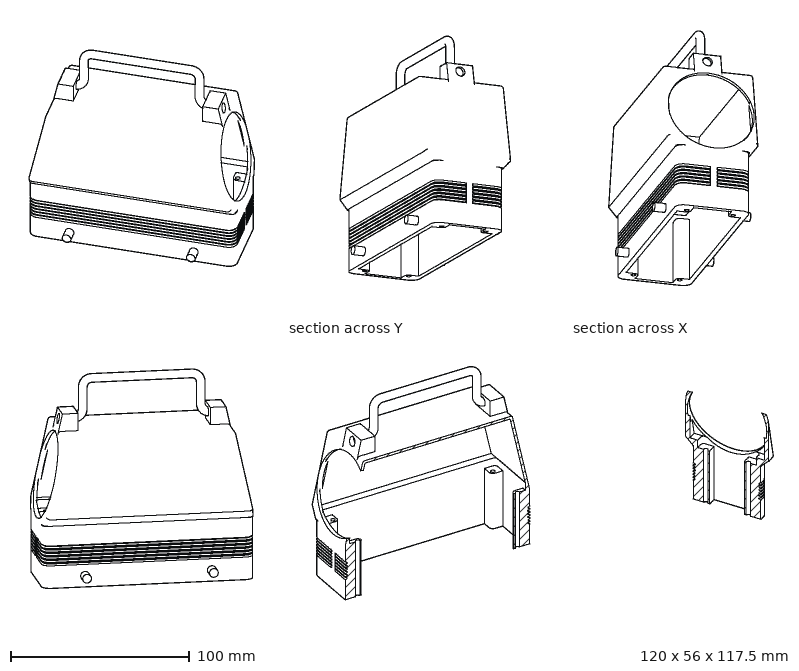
import cadquery as cq
import math

LENGTH = 120.0
HANDLE_TOP = 117.5

BASE_WIDTH = 43.0
BASE_HEIGHT = 36.0
BASE_CORNER_RADIUS = 5.0
BASE_WALL = 3.0

HOOD_WIDTH = 53.0
FLARE_TOP = BASE_HEIGHT + (HOOD_WIDTH - BASE_WIDTH) / 2
HOOD_TOP = 87.0
HOOD_SIDE_WALL = 3.0
HOOD_END_WALL = 2.0
END_LEAN = math.tan(math.radians(12.5))
HOOD_FILLET = 2.0

GROOVE_COUNT = 6
GROOVE_PITCH = 2.0
GROOVE_DEPTH = 1.3
GROOVE_HEIGHT = 2 * GROOVE_DEPTH * math.tan(math.radians(30))
LOWEST_GROOVE_Z = 13.85
GROOVE_GAP = 4.0

PIN_DIAMETER = 5.0
PIN_SPAN = 56.0
PIN_X = 36.0
PIN_Z = 6.5

SCREW_SPACING_X = 104.0
SCREW_SPACING_Y = 27.0
SCREW_HOLE_DIAMETER = 2.5
BOSS_RADIUS = 2.5

ENTRY_DIAMETER = 50.0
ENTRY_Z = 60.5
ENTRY_DEPTH = BASE_WALL + 0.5

LUG_TOP = 97.0
LUG_WIDTH = 16.0
LUG_INNER_X = 37.5
LUG_HOLE_DIAMETER = 5.5
LUG_HOLE_DEPTH = 2.5
ROD_DIAMETER = 5.0
ROD_BEND_RADIUS = 5.0
ROD_END_X = 38.5
ROD_END_Z = 92.5


def end_x(z):
    """Distance from the YZ plane to the leaning end face at height z."""
    return LENGTH / 2 - END_LEAN * (z - BASE_HEIGHT)


def leaning_block(bottom, top, width, inset=0.0):
    """Block between the two leaning end faces, each moved inwards by inset along its normal."""
    shift = inset * math.hypot(1, END_LEAN)
    bottom_x = end_x(bottom) - shift
    top_x = end_x(top) - shift
    outline = [(-bottom_x, bottom), (bottom_x, bottom), (top_x, top), (-top_x, top)]
    return cq.Workplane("XZ").polyline(outline).close().extrude(width / 2, both=True)


def hood_block():
    """Solid hood, flaring out from the width of the base."""
    neck_y = BASE_WIDTH / 2
    side_y = HOOD_WIDTH / 2
    half = [(neck_y, BASE_HEIGHT), (side_y, FLARE_TOP), (side_y, HOOD_TOP)]
    mirrored = [(-y, z) for y, z in reversed(half)]
    section = cq.Workplane("YZ").polyline(half + mirrored).close().extrude(LENGTH / 2, both=True)
    return section.intersect(leaning_block(BASE_HEIGHT, HOOD_TOP, HOOD_WIDTH))


def hood_cavity():
    """Flat-floored hollow of the hood, above the flare."""
    ceiling = HOOD_TOP - HOOD_END_WALL
    width = HOOD_WIDTH - 2 * HOOD_SIDE_WALL
    return leaning_block(FLARE_TOP, ceiling, width, HOOD_END_WALL)


def base_block(inset=0.0, height=BASE_HEIGHT):
    """Upright block of the given height with the base outline moved inwards by inset."""
    return (
        cq.Workplane("XY")
        .rect(LENGTH - 2 * inset, BASE_WIDTH - 2 * inset)
        .extrude(height)
        .edges("|Z")
        .fillet(BASE_CORNER_RADIUS - inset)
    )


def rounded_hood():
    """Hood with its top edges and the slanted edges of its end faces rounded."""
    hood = hood_block()
    top_edges = hood.faces(">Z").edges()
    end_edges = hood.edges("not(|X or |Y)")
    return top_edges.add(end_edges).fillet(HOOD_FILLET)


def lugs():
    block = leaning_block(HOOD_TOP - HOOD_FILLET, LUG_TOP, LUG_WIDTH)
    gap = cq.Workplane("XY").box(2 * LUG_INNER_X, LUG_WIDTH, 2 * LUG_TOP)
    return block.cut(gap)


def lug_holes():
    """Blind holes in the outer lug faces, in line with the handle ends."""
    bottom_x = end_x(ROD_END_Z) - LUG_HOLE_DEPTH
    core = cq.Workplane("YZ").center(0, ROD_END_Z).circle(LUG_HOLE_DIAMETER / 2)
    drill = core.extrude(LENGTH / 2, both=True)
    middle = cq.Workplane("XY").box(2 * bottom_x, LUG_WIDTH, 2 * LUG_TOP)
    return drill.cut(middle)


def handle():
    """Bent round rod, each end entering a lug."""
    bend = ROD_BEND_RADIUS
    axis_top = HANDLE_TOP - ROD_DIAMETER / 2
    leg_x = ROD_END_X - bend
    leg_bottom = ROD_END_Z + bend
    leg_top = axis_top - bend
    path = (
        cq.Workplane("XZ")
        .moveTo(-ROD_END_X, ROD_END_Z)
        .radiusArc((-leg_x, leg_bottom), -bend)
        .lineTo(-leg_x, leg_top)
        .radiusArc((-leg_x + bend, axis_top), bend)
        .lineTo(leg_x - bend, axis_top)
        .radiusArc((leg_x, leg_top), bend)
        .lineTo(leg_x, leg_bottom)
        .radiusArc((ROD_END_X, ROD_END_Z), -bend)
    )
    start = cq.Workplane("YZ", origin=(-ROD_END_X, 0, ROD_END_Z))
    return start.circle(ROD_DIAMETER / 2).sweep(path)


def cable_entry():
    """Round opening square to the leaning +X end, through the hood end and the base wall below it."""
    end_plane = cq.Plane(origin=(end_x(ENTRY_Z), 0, ENTRY_Z), xDir=(0, 1, 0), normal=(1, 0, END_LEAN))
    disc = cq.Workplane(end_plane).circle(ENTRY_DIAMETER / 2)
    return disc.extrude(ENTRY_DEPTH, both=True)


def groove(z):
    """Ring of V section, point inwards, that cuts one groove around the base at height z."""
    half_height = GROOVE_HEIGHT / 2
    side_y = BASE_WIDTH / 2
    path = base_block().faces("<Z").wires().translate((0, 0, z))
    section = (
        cq.Workplane("YZ")
        .moveTo(side_y - GROOVE_DEPTH, z)
        .lineTo(side_y, z + half_height)
        .lineTo(side_y, z - half_height)
        .close()
    )
    return section.sweep(path)


def grooves():
    """All grip grooves, interrupted in the middle of both ends."""
    gap = cq.Workplane("XY").box(2 * LENGTH, GROOVE_GAP, 2 * BASE_HEIGHT)
    heights = [LOWEST_GROOVE_Z + i * GROOVE_PITCH for i in range(GROOVE_COUNT)]
    return [groove(z).cut(gap) for z in heights]


def pins():
    pair = cq.Workplane("XZ").pushPoints([(-PIN_X, PIN_Z), (PIN_X, PIN_Z)])
    return pair.circle(PIN_DIAMETER / 2).extrude(PIN_SPAN / 2, both=True)


def corner_bosses():
    """Screw bosses that fill the inner corners of the base, rounded towards the opening."""
    inner_x = SCREW_SPACING_X / 2 - BOSS_RADIUS
    inner_y = SCREW_SPACING_Y / 2 - BOSS_RADIUS
    lengthwise = cq.Workplane("XY").rect(LENGTH, 2 * inner_y).extrude(BASE_HEIGHT)
    crosswise = cq.Workplane("XY").rect(2 * inner_x, BASE_WIDTH).extrude(BASE_HEIGHT)
    corners = base_block(BASE_WALL / 2).cut(lengthwise).cut(crosswise)
    inner_zone = cq.selectors.BoxSelector(
        (-inner_x - BOSS_RADIUS, -inner_y - BOSS_RADIUS, 0),
        (inner_x + BOSS_RADIUS, inner_y + BOSS_RADIUS, BASE_HEIGHT),
    )
    return corners.edges("|Z").edges(inner_zone).fillet(BOSS_RADIUS)


def screw_holes():
    points = cq.Workplane("XY").rect(SCREW_SPACING_X, SCREW_SPACING_Y, forConstruction=True)
    return points.vertices().circle(SCREW_HOLE_DIAMETER / 2).extrude(BASE_HEIGHT)


def housing():
    body = base_block().union(rounded_hood()).union(lugs()).union(pins())
    for ring in grooves():
        body = body.cut(ring)
    body = body.cut(base_block(BASE_WALL, FLARE_TOP)).cut(hood_cavity())
    body = body.cut(cable_entry()).cut(lug_holes())
    body = body.union(corner_bosses()).cut(screw_holes())
    return body.union(handle())


result = housing()